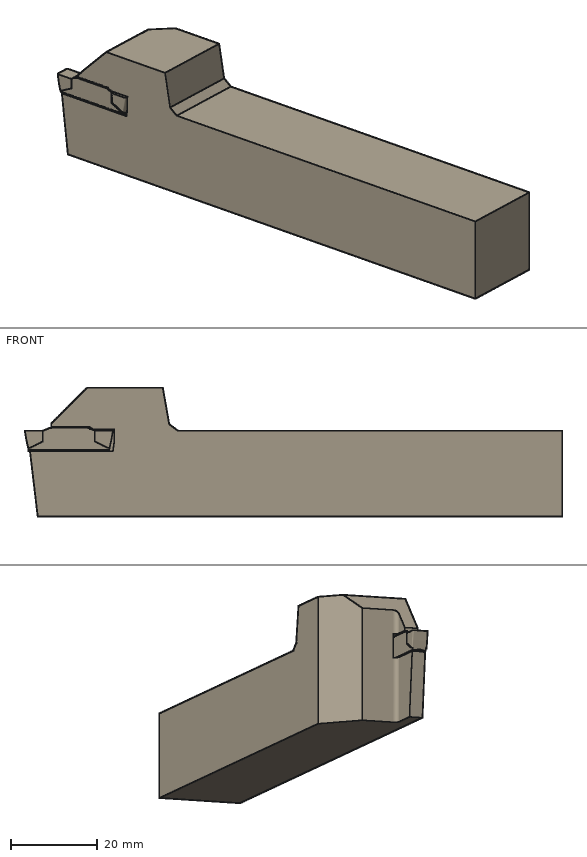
import cadquery as cq

LENGTH = 125.0
SHANK = 20.0
HEAD_HEIGHT = 30.0

INSERT_LENGTH = 20.5
INSERT_THICKNESS = 3.2
INSERT_BOTTOM = 15.5
INSERT_TOP = 20.6
TIP_LENGTH = 4.2
RAMP_END = 5.8
RELIEF_HEIGHT = 17.8
RELIEF_SETBACK = 0.4
BASE_SETBACK = 0.9
TIP_OVERHANG = 0.2
TIP_BACK_HEIGHT = 17.5
TIP_TOE_HEIGHT = 16.0
TIP_TOE_X = 1.2
CORNER_RADIUS = 0.2
V_DEPTH = 0.2
V_WIDTH = 2.0

GAP = 0.2
POCKET_FLOOR = INSERT_BOTTOM - GAP
POCKET_CEILING = INSERT_TOP + GAP
POCKET_REAR_CEILING = 20.4
POCKET_DEPTH = 4.2
POCKET_END = 20.9
POCKET_END_BOTTOM = 20.5
CEILING_STEP_LENGTH = 0.8

FRONT_BOTTOM_X = 3.0
FRONT_TOP_X = 1.2
CLAMP_NOSE_X = 6.1
CLAMP_NOSE_Z = 21.6
SLOPE_TOP_X = CLAMP_NOSE_X + HEAD_HEIGHT - CLAMP_NOSE_Z
HEAD_REAR_TOP_X = 32.1
HEAD_REAR_BOTTOM_X = 33.6
RUNOUT_RISE = 1.5
RUNOUT_X = 35.6
SHOULDER_X = 11.0
BLADE_FILLET = 1.1
SHOULDER_CHAMFER = 8.0


def extrude_xz(points, y_start, y_end):
    """Extrude an XZ outline from y_start to y_end."""
    plane = cq.Workplane("XZ", origin=(0, y_start, 0))
    return plane.polyline(points).close().extrude(y_start - y_end)


def v_prism(base_z, apex_z, x_start, x_end):
    """Triangular bar along X, centred on the insert thickness."""
    middle = INSERT_THICKNESS / 2
    outline = [
        (middle - V_WIDTH / 2, base_z),
        (middle + V_WIDTH / 2, base_z),
        (middle, apex_z),
    ]
    plane = cq.Workplane("YZ", origin=(x_start, 0, 0))
    return plane.polyline(outline).close().extrude(x_end - x_start)


def insert_grooves():
    """V grooves along the top and bottom of the insert."""
    top = v_prism(INSERT_TOP, INSERT_TOP - V_DEPTH, 0, INSERT_LENGTH)
    bottom = v_prism(INSERT_BOTTOM, INSERT_BOTTOM + V_DEPTH, BASE_SETBACK, INSERT_LENGTH - BASE_SETBACK)
    return top, bottom


def make_tip():
    """Wider cutting tip at the front end of the insert, with rounded front corners."""
    relief_slope = (BASE_SETBACK - RELIEF_SETBACK) / (RELIEF_HEIGHT - INSERT_BOTTOM)
    toe_front_x = RELIEF_SETBACK + relief_slope * (RELIEF_HEIGHT - TIP_TOE_HEIGHT)
    outline = [
        (0, SHANK),
        (TIP_LENGTH, SHANK),
        (TIP_LENGTH, TIP_BACK_HEIGHT),
        (TIP_TOE_X, TIP_TOE_HEIGHT),
        (toe_front_x, TIP_TOE_HEIGHT),
        (RELIEF_SETBACK, RELIEF_HEIGHT),
    ]
    tip = extrude_xz(outline, -TIP_OVERHANG, INSERT_THICKNESS + TIP_OVERHANG)
    front = cq.selectors.BoxSelector((-RELIEF_SETBACK, -SHANK, 0), (TIP_TOE_X / 2, SHANK, SHANK - CORNER_RADIUS))
    corners = tip.edges(front).edges("not |Y")
    return corners.fillet(CORNER_RADIUS)


def make_insert():
    front_half = [
        (BASE_SETBACK, INSERT_BOTTOM),
        (RELIEF_SETBACK, RELIEF_HEIGHT),
        (0, SHANK),
        (TIP_LENGTH, SHANK),
        (RAMP_END, INSERT_TOP),
    ]
    rear_half = [(INSERT_LENGTH - x, z) for x, z in reversed(front_half)]
    insert = extrude_xz(front_half + rear_half, 0, INSERT_THICKNESS)
    for groove in insert_grooves():
        insert = insert.cut(groove)
    front_tip = make_tip()
    rear_tip = front_tip.mirror("YZ").translate((INSERT_LENGTH, 0, 0))
    return insert.union(front_tip).union(rear_tip)


def holder_blank():
    """Side outline across the full width, trimmed to the plan outline with its thin blade."""
    front_slope = (FRONT_BOTTOM_X - FRONT_TOP_X) / POCKET_FLOOR
    nose_root_x = FRONT_BOTTOM_X - front_slope * CLAMP_NOSE_Z
    side = [
        (FRONT_BOTTOM_X, 0),
        (LENGTH, 0),
        (LENGTH, SHANK),
        (RUNOUT_X, SHANK),
        (HEAD_REAR_BOTTOM_X, SHANK + RUNOUT_RISE),
        (HEAD_REAR_TOP_X, HEAD_HEIGHT),
        (SLOPE_TOP_X, HEAD_HEIGHT),
        (CLAMP_NOSE_X, CLAMP_NOSE_Z),
        (CLAMP_NOSE_X, POCKET_CEILING),
        (nose_root_x, POCKET_CEILING),
    ]
    plan = (
        cq.Workplane("XY")
        .lineTo(LENGTH, 0)
        .lineTo(LENGTH, SHANK)
        .lineTo(SHOULDER_X + SHOULDER_CHAMFER, SHANK)
        .lineTo(SHOULDER_X, SHANK - SHOULDER_CHAMFER)
        .lineTo(SHOULDER_X, INSERT_THICKNESS + BLADE_FILLET)
        .radiusArc((SHOULDER_X - BLADE_FILLET, INSERT_THICKNESS), BLADE_FILLET)
        .lineTo(0, INSERT_THICKNESS)
        .close()
        .extrude(HEAD_HEIGHT)
    )
    return extrude_xz(side, 0, SHANK).intersect(plan)


def insert_pocket():
    step_x = INSERT_LENGTH - RAMP_END + GAP
    outline = [
        (0, POCKET_FLOOR),
        (POCKET_END_BOTTOM, POCKET_FLOOR),
        (POCKET_END, RELIEF_HEIGHT),
        (POCKET_END, POCKET_REAR_CEILING),
        (step_x + CEILING_STEP_LENGTH, POCKET_REAR_CEILING),
        (step_x, POCKET_CEILING),
        (0, POCKET_CEILING),
    ]
    return extrude_xz(outline, 0, POCKET_DEPTH)


def seat_ridges():
    """V ridges that bridge the clearance and fill the grooves of the insert."""
    middle = INSERT_THICKNESS / 2
    ridges = []
    seats = (
        (POCKET_CEILING, INSERT_TOP, -V_DEPTH, CLAMP_NOSE_X, INSERT_LENGTH - RAMP_END),
        (POCKET_FLOOR, INSERT_BOTTOM, V_DEPTH, BASE_SETBACK, INSERT_LENGTH - BASE_SETBACK),
    )
    for wall_z, groove_z, apex_rise, x_start, x_end in seats:
        outline = [
            (middle - V_WIDTH / 2, wall_z),
            (middle - V_WIDTH / 2, groove_z),
            (middle, groove_z + apex_rise),
            (middle + V_WIDTH / 2, groove_z),
            (middle + V_WIDTH / 2, wall_z),
        ]
        plane = cq.Workplane("YZ", origin=(x_start, 0, 0))
        ridges.append(plane.polyline(outline).close().extrude(x_end - x_start))
    return ridges


def make_holder():
    holder = holder_blank().cut(insert_pocket())
    for ridge in seat_ridges():
        holder = holder.union(ridge)
    return holder


insert = make_insert()
holder = make_holder()
result = cq.Compound.makeCompound([holder.val(), insert.val()])